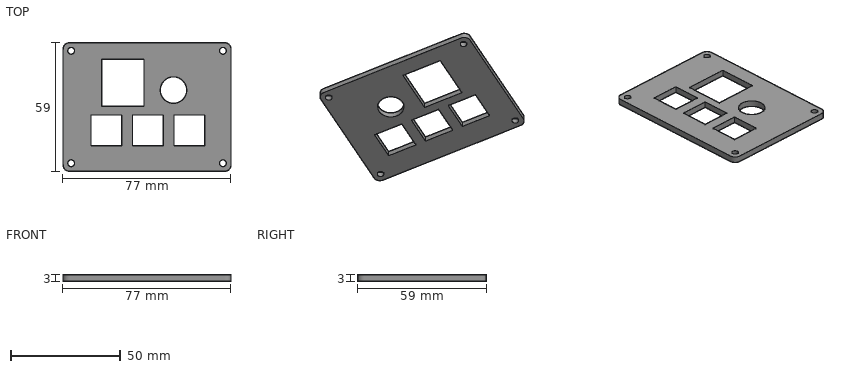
import cadquery as cq

plate_length = 77.0
plate_width = 59.0
plate_thickness = 3.0
corner_radius = 3.0

screw_hole_diameter = 3.0
screw_hole_inset = 3.75

key_size = 14.0
key_pitch = 19.0
key_count = 3
key_row_center_x = 0.4
key_row_y = -10.7

window_length = 19.2
window_width = 21.5
window_center = (-11.1, 11.1)

knob_diameter = 12.0
knob_center = (12.1, 7.75)


def make_plate():
    """Flat plate with rounded vertical corners."""
    return (
        cq.Workplane("XY")
        .box(plate_length, plate_width, plate_thickness, centered=(True, True, False))
        .edges("|Z")
        .fillet(corner_radius)
    )


def round_opening(center, diameter):
    """Cylinder that cuts a round opening through the plate."""
    return cq.Workplane("XY").center(*center).circle(diameter / 2).extrude(plate_thickness)


def rectangular_opening(center, length, width):
    """Block that cuts a sharp-cornered opening through the plate."""
    return cq.Workplane("XY").center(*center).rect(length, width).extrude(plate_thickness)


result = make_plate()

screw_hole_x = plate_length / 2 - screw_hole_inset
screw_hole_y = plate_width / 2 - screw_hole_inset
for side_x in (-1, 1):
    for side_y in (-1, 1):
        hole_center = (side_x * screw_hole_x, side_y * screw_hole_y)
        result = result.cut(round_opening(hole_center, screw_hole_diameter))

first_key_x = key_row_center_x - key_pitch * (key_count - 1) / 2
for index in range(key_count):
    key_center = (first_key_x + index * key_pitch, key_row_y)
    result = result.cut(rectangular_opening(key_center, key_size, key_size))

result = result.cut(rectangular_opening(window_center, window_length, window_width))
result = result.cut(round_opening(knob_center, knob_diameter))